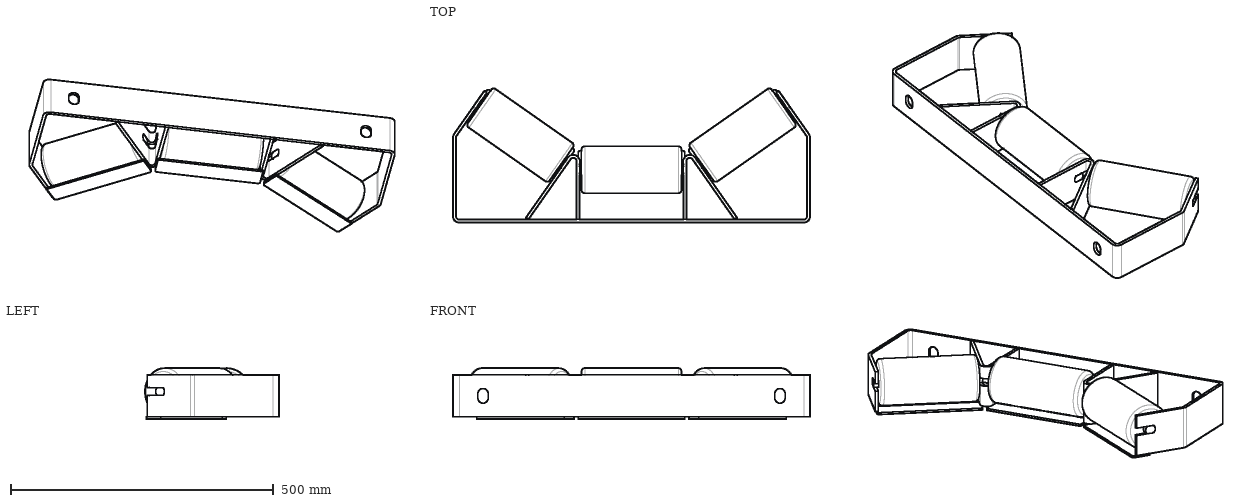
import cadquery as cq
import math

OVERALL_LENGTH = 680.0
SHEET = 6.0
SHEET_HEIGHT = 80.0
BEND_RADIUS = 12.0

TROUGH_ANGLE = 35.0
ROLLER_DIAMETER = 90.0
ROLLER_LENGTH = 190.5
ROLLER_EDGE_RADIUS = 6.0
AXLE_GAP = 3.5
AXLE_DIAMETER = 20.5
AXLE_FLATS = 15.0
SLOT_DEPTH = 37.0
SLOT_OVERRUN = 12.0
AXLE_Z = 8.0
MIDDLE_ROLLER_Y = 100.5
SIDE_ROLLER_X = 211.5
SIDE_ROLLER_Y = 166.5

PLATE_WIDTH = 37.0
PLATE_THICKNESS = 4.0
PLATE_CORNER_RADIUS = 5.0

FRAME_END_ABOVE_AXLE = 30.0
MOUNT_SLOT_SPACING = 565.0
MOUNT_SLOT_WIDTH = 20.0
MOUNT_SLOT_HEIGHT = 28.0

SPAN = ROLLER_LENGTH + 2 * AXLE_GAP
AXLE_LENGTH = SPAN + 2 * SHEET
SLOPE_SIN = math.sin(math.radians(TROUGH_ANGLE))
SLOPE_COS = math.cos(math.radians(TROUGH_ANGLE))

STATIONS = [
    (-SIDE_ROLLER_X, SIDE_ROLLER_Y, -TROUGH_ANGLE),
    (0.0, MIDDLE_ROLLER_Y, 0.0),
    (SIDE_ROLLER_X, SIDE_ROLLER_Y, TROUGH_ANGLE),
]


def at_station(body, station):
    """Move a body built around the origin, axle along X, to a roller station."""
    x, y, turn = station
    return body.rotate((0, 0, 0), (0, 0, 1), turn).translate((x, y, 0))


def right_roller_point(along, across):
    """Plan position from distances along and across the axle of the right-hand roller."""
    x = SIDE_ROLLER_X + along * SLOPE_COS - across * SLOPE_SIN
    y = SIDE_ROLLER_Y + along * SLOPE_SIN + across * SLOPE_COS
    return x, y


def offset_left(path):
    """Points of a path moved a sheet thickness to its left, mitred at the corners."""
    headings = [math.atan2(b[1] - a[1], b[0] - a[0]) for a, b in zip(path, path[1:])]
    before = headings[:1] + headings
    after = headings + headings[-1:]
    moved = []
    for (x, y), first, second in zip(path, before, after):
        middle = (first + second) / 2
        reach = SHEET / math.cos((second - first) / 2)
        moved.append((x - reach * math.sin(middle), y + reach * math.cos(middle)))
    return moved


def bent_sheet(outer_path):
    """Upright sheet whose outer face follows the path, with its thickness on the left of it."""
    inner_path = offset_left(outer_path)
    sheet = (
        cq.Workplane("XY").workplane(offset=-SHEET_HEIGHT / 2)
        .polyline(outer_path + inner_path[::-1]).close().extrude(SHEET_HEIGHT)
    )
    for path, radius in ((outer_path, BEND_RADIUS), (inner_path, BEND_RADIUS - SHEET)):
        for x, y in path[1:-1]:
            sheet = sheet.edges(cq.selectors.NearestToPointSelector((x, y, 0))).fillet(radius)
    return sheet


def axle_profile(length):
    """Round bar along X with a flat on its top and on its underside."""
    bar = (
        cq.Workplane("YZ").workplane(offset=-length / 2)
        .circle(AXLE_DIAMETER / 2).extrude(length)
    )
    flats = cq.Workplane("XY").box(length, AXLE_DIAMETER, AXLE_FLATS)
    return bar.intersect(flats).translate((0, 0, AXLE_Z))


def axle_slots():
    """Cutters for the slots that hold the axles, open towards +Y of each roller."""
    length = AXLE_LENGTH + 2 * SLOT_OVERRUN
    opening = (
        cq.Workplane("XY").box(length, SLOT_DEPTH, AXLE_FLATS)
        .translate((0, SLOT_DEPTH / 2, AXLE_Z))
    )
    slot = axle_profile(length).union(opening)
    return [at_station(slot, station) for station in STATIONS]


def make_frame():
    """Base strip with upright sides and sloping ends, open towards +Y."""
    half_length = OVERALL_LENGTH / 2
    end_along = AXLE_LENGTH / 2
    axle_x, axle_y = right_roller_point(end_along, 0)
    knee_y = axle_y - (half_length - axle_x) * SLOPE_COS / SLOPE_SIN
    tip_x, tip_y = right_roller_point(end_along, FRAME_END_ABOVE_AXLE)
    right_path = [(half_length, 0), (half_length, knee_y), (tip_x, tip_y)]
    left_path = [(-x, y) for x, y in right_path[::-1]]
    frame = bent_sheet(left_path + right_path)

    mount_slots = (
        cq.Workplane("XZ").pushPoints([(-MOUNT_SLOT_SPACING / 2, 0), (MOUNT_SLOT_SPACING / 2, 0)])
        .slot2D(MOUNT_SLOT_HEIGHT, MOUNT_SLOT_WIDTH, 90).extrude(-SHEET)
    )
    frame = frame.cut(mount_slots)
    for slot in axle_slots():
        frame = frame.cut(slot)
    return frame


def make_right_bracket():
    """Hairpin bracket between the middle and the right-hand roller, standing on the base strip."""
    upright_x = SPAN / 2
    face_x, face_y = right_roller_point(-SPAN / 2, 0)
    apex_y = face_y + (face_x - upright_x) * SLOPE_COS / SLOPE_SIN
    foot_y = SHEET + SHEET * SLOPE_SIN
    foot_x = face_x + (face_y - foot_y) * SLOPE_SIN / SLOPE_COS
    bracket = bent_sheet([(foot_x, foot_y), (upright_x, apex_y), (upright_x, SHEET)])
    for slot in axle_slots():
        bracket = bracket.cut(slot)
    return bracket


def make_roller(station):
    """Round-edged roller with its axle, flush with the outside of the sheets."""
    drum = (
        cq.Workplane("YZ").workplane(offset=-ROLLER_LENGTH / 2)
        .circle(ROLLER_DIAMETER / 2).extrude(ROLLER_LENGTH)
        .edges("%CIRCLE").fillet(ROLLER_EDGE_RADIUS).translate((0, 0, AXLE_Z))
    )
    return at_station(drum.union(axle_profile(AXLE_LENGTH)), station)


def make_plate(station):
    """Flat plate under the sheets, reaching half a thickness under each.

    It runs from below the axle towards +Y, where its corners are rounded.
    """
    plate = (
        cq.Workplane("XY").box(SPAN + SHEET, PLATE_WIDTH, PLATE_THICKNESS)
        .edges("|Z and >Y").fillet(PLATE_CORNER_RADIUS)
        .translate((0, PLATE_WIDTH / 2, -(SHEET_HEIGHT + PLATE_THICKNESS) / 2))
    )
    return at_station(plate, station)


frame = make_frame()
right_bracket = make_right_bracket()
left_bracket = right_bracket.mirror("YZ")
rollers = [make_roller(station) for station in STATIONS]
plates = [make_plate(station) for station in STATIONS]

bodies = [frame, left_bracket, right_bracket] + rollers + plates
result = cq.Compound.makeCompound([body.solids().val() for body in bodies])